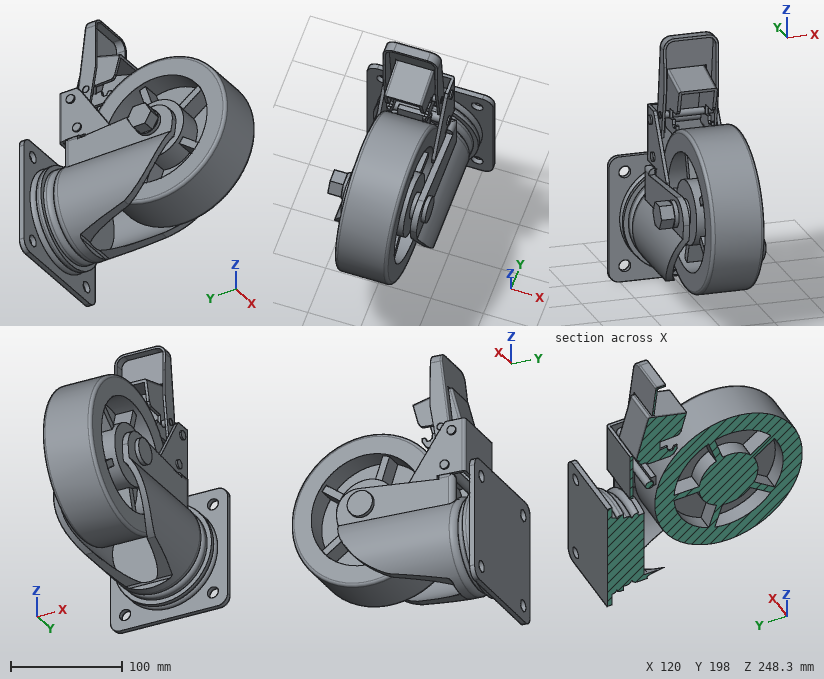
import cadquery as cq
import math


DIAGONAL = math.sqrt(0.5)

TOTAL_DEPTH = 198.0
TOTAL_HEIGHT = 248.33

PLATE_SIZE = 120.0
PLATE_THICKNESS = 5.0
PLATE_CORNER_RADIUS = 10.0
HOLE_SPACING = 90.0
HOLE_DIAMETER = 11.0

FLANGE_RADIUS = 50.0
FLANGE_GROOVE_RADIUS = 47.0
FLANGE_GROOVE_DEPTH = 10.0
FLANGE_ROUND_END = 13.5
FLANGE_END = 16.7
RACE_RADIUS = 45.5
RACE_ROUND_START = 19.6
NECK_GROOVE_RADIUS = 41.5
NECK_GROOVE_DEPTH = 25.0

FORK_RADIUS = 46.0
FORK_WALL = 6.0
FORK_BACK = 31.7
LUG_OUTER_X = 36.0
LUG_INNER_X = LUG_OUTER_X - FORK_WALL
LUG_TAB_END = 46.6
LUG_TAB_TOP = 61.2
LUG_TAB_CORNER_RADIUS = 6.5
LUG_TOP_SLOPE = 4.7
LUG_BEND_RADIUS = 5.0
LUG_NOSE_RADIUS = 20.0
LUG_NOSE_CENTER = (128.0, 42.0)
SKIRT_LIP_END = 40.7
SKIRT_LIP_TOP = -41.0
SKIRT_SLOPE_START = (42.5, -39.3)
SKIRT_SLOPE_END = (96.5, -28.9)
SKIRT_ARC_MIDDLE = (134.0, 0.0)

WHEEL_RADIUS = 75.0
WHEEL_WIDTH = 50.0
WHEEL_EDGE_RADIUS = 3.0
AXLE_DEPTH = TOTAL_DEPTH - WHEEL_RADIUS
AXLE_Z = 45.0
RIM_INNER_RADIUS = 55.0
HUB_RADIUS = 30.0
SPOKE_COUNT = 5
SPOKE_THICKNESS = 7.0
SPOKE_FIRST_ANGLE = 36.0
SPOKE_RECESS = 5.0
WEB_THICKNESS = 4.0
SPACER_RADIUS = 12.5
WASHER_OUTER_X = 40.0
BOLT_HEAD_END_X = 52.7
BOLT_ACROSS_FLATS = 22.0

BRACKET_HALF_WIDTH = 30.3
BRACKET_SHEET = 3.2
BRACKET_BACK = 23.1
BRACKET_BOTTOM = 62.2
BRACKET_TOP = 114.7
BRACKET_TOP_END = 42.5
BRACKET_SHOULDER = (45.5, 111.5)
BRACKET_STEP_DEPTH = 51.1
BRACKET_SLANT_END = (80.0, 58.7)
BRACKET_FOOT_Z = 54.0
BRACKET_BEND_RADIUS = 3.0
RIVET_RADIUS = 4.3
RIVET_HALF_LENGTH = 31.9
UPPER_RIVET = (36.2, 104.4)
LOWER_RIVET = (43.1, 71.4)

SHOE_HALF_WIDTH = 15.5
SHOE_START = 45.0
SHOE_END = 50.0
SHOE_BOTTOM = 68.0
SHOE_TOP = 78.4

PEDAL_HALF_WIDTH = 26.0
PEDAL_WALL = 2.4
PEDAL_TOP = TOTAL_HEIGHT - PLATE_SIZE / 2
PEDAL_BOTTOM = 92.0
PEDAL_BACK_TOP = 49.3
PEDAL_BACK_SLOPE = 0.12
PEDAL_CORNER_RADIUS = 10.0
PEDAL_BACK_FILLET = 1.5
PEDAL_FRONT = [(59.3, PEDAL_TOP), (59.9, 161.8), (59.9, 136.2), (53.8, 99.4)]
PEDAL_FRONT_BOTTOM = 52.5
WINDOW_HALF_WIDTH = 18.4
WINDOW_TOP = 155.4
PEDAL_PIN = (49.5, 112.9)
PEDAL_PIN_RADIUS = 3.3
PEDAL_PIN_HALF_LENGTH = 26.5

LEVER_HALF_WIDTH = 18.2
LEVER_SHEET = 2.8
LEVER_TILT = 15.0
LEVER_CORNER = (42.0, 155.0)
LEVER_LENGTH = 49.0
LEVER_TOP_LENGTH = 40.0
LEVER_BEND_RADIUS = 2.1
LEVER_FRONT_HEIGHT = 21.0
LEVER_TOE = [(73.3, 121.5), (71.5, 120.4), (54.0, 119.8)]
HOOK_THROAT = [(54.0, 110.5), (61.0, 111.5), (61.5, 107.0), (63.5, 105.0), (66.5, 105.0), (68.3, 108.6)]
HOOK_TIP = [(71.2, 108.6), (71.2, 105.0)]
HOOK_BOTTOM = 97.8
HOOK_BELLY = [(67.5, 99.5), (63.6, HOOK_BOTTOM), (42.0, HOOK_BOTTOM)]


def side_plate(points, half_width):
    """Plate with a (depth, z) outline, centred on X = 0."""
    outline = cq.Workplane("YZ").polyline([(-depth, z) for depth, z in points]).close()
    return outline.extrude(half_width, both=True)


def cross_cylinder(center, radius, start_x, end_x):
    """Cylinder along X about a (depth, z) centre."""
    depth, z = center
    plane = cq.Workplane("YZ", origin=(start_x, -depth, z))
    return plane.circle(radius).extrude(end_x - start_x)


def block(x_range, depth_range, z_range):
    """Box given by its (low, high) limits in X, depth and Z."""
    size = [high - low for low, high in (x_range, depth_range, z_range)]
    corner = (x_range[0], -depth_range[1], z_range[0])
    return cq.Workplane("XY").box(*size, centered=False).translate(corner)


def mounting_plate():
    """Square plate with rounded corners and four bolt holes."""
    plate = cq.Workplane("XZ").rect(PLATE_SIZE, PLATE_SIZE).extrude(PLATE_THICKNESS)
    plate = plate.edges("|Y").fillet(PLATE_CORNER_RADIUS)
    holes = cq.Workplane("XZ").rect(HOLE_SPACING, HOLE_SPACING, forConstruction=True).vertices()
    return plate.cut(holes.circle(HOLE_DIAMETER / 2).extrude(PLATE_THICKNESS))


def shoulder_middle(groove, crest):
    """Middle of a rounded shoulder that drops from a crest into a groove.

    Points are (radius, -depth); the arc through this point leaves the crest nearly level.
    """
    (groove_radius, groove_y), (crest_radius, crest_y) = groove, crest
    radius = groove_radius + (crest_radius - groove_radius) * DIAGONAL
    y = crest_y + (groove_y - crest_y) * DIAGONAL
    return (radius, y)


def swivel_neck():
    """Turned rings between the plate and the fork, with rounded shoulders, and the fork's floor."""
    plate_crest = (FLANGE_RADIUS, -PLATE_THICKNESS)
    flange_groove = (FLANGE_GROOVE_RADIUS, -FLANGE_GROOVE_DEPTH)
    flange_crest = (FLANGE_RADIUS, -FLANGE_ROUND_END)
    race_crest = (RACE_RADIUS, -RACE_ROUND_START)
    neck_groove = (NECK_GROOVE_RADIUS, -NECK_GROOVE_DEPTH)
    fork_crest = (FORK_RADIUS, -FORK_BACK)
    floor_radius = FORK_RADIUS - FORK_WALL / 2
    floor_front = -FORK_BACK - FORK_WALL
    profile = (
        cq.Workplane("XY")
        .moveTo(0, 0)
        .lineTo(FLANGE_RADIUS, 0)
        .lineTo(*plate_crest)
        .threePointArc(shoulder_middle(flange_groove, plate_crest), flange_groove)
        .threePointArc(shoulder_middle(flange_groove, flange_crest), flange_crest)
        .lineTo(FLANGE_RADIUS, -FLANGE_END)
        .lineTo(RACE_RADIUS, -FLANGE_END)
        .lineTo(*race_crest)
        .threePointArc(shoulder_middle(neck_groove, race_crest), neck_groove)
        .threePointArc(shoulder_middle(neck_groove, fork_crest), fork_crest)
        .lineTo(floor_radius, -FORK_BACK)
        .lineTo(floor_radius, floor_front)
        .lineTo(0, floor_front)
        .close()
    )
    return profile.revolve(360, (0, 0, 0), (0, 1, 0))


def fork_side_profile():
    """Side silhouette shared by the round skirt and the two lugs."""
    nose_depth, nose_z = LUG_NOSE_CENTER
    slope = math.radians(LUG_TOP_SLOPE)
    nose_start_depth = nose_depth - LUG_NOSE_RADIUS * math.sin(slope)
    nose_start_z = nose_z + LUG_NOSE_RADIUS * math.cos(slope)
    lug_top_back = nose_start_z - (nose_start_depth - LUG_TAB_END) * math.tan(slope)
    diagonal = LUG_NOSE_RADIUS * DIAGONAL
    corner_inset = LUG_TAB_CORNER_RADIUS * (1 - DIAGONAL)
    return (
        cq.Workplane("YZ")
        .moveTo(-FORK_BACK, -FORK_RADIUS)
        .lineTo(-SKIRT_LIP_END, -FORK_RADIUS)
        .lineTo(-SKIRT_LIP_END, SKIRT_LIP_TOP)
        .lineTo(-SKIRT_SLOPE_START[0], SKIRT_SLOPE_START[1])
        .lineTo(-SKIRT_SLOPE_END[0], SKIRT_SLOPE_END[1])
        .threePointArc((-SKIRT_ARC_MIDDLE[0], SKIRT_ARC_MIDDLE[1]), (-nose_depth - LUG_NOSE_RADIUS, nose_z))
        .threePointArc((-nose_depth - diagonal, nose_z + diagonal), (-nose_start_depth, nose_start_z))
        .lineTo(-LUG_TAB_END, lug_top_back)
        .lineTo(-LUG_TAB_END, LUG_TAB_TOP)
        .lineTo(-FORK_BACK - LUG_TAB_CORNER_RADIUS, LUG_TAB_TOP)
        .threePointArc(
            (-FORK_BACK - corner_inset, LUG_TAB_TOP - corner_inset),
            (-FORK_BACK, LUG_TAB_TOP - LUG_TAB_CORNER_RADIUS),
        )
        .close()
        .extrude(FORK_RADIUS, both=True)
    )


def fork_cross_section():
    """Open ring whose two ends carry on straight up as the lugs."""
    inner_radius = FORK_RADIUS - FORK_WALL
    outer_root_z = math.sqrt(FORK_RADIUS ** 2 - LUG_OUTER_X ** 2)
    inner_root_z = math.sqrt(inner_radius ** 2 - LUG_INNER_X ** 2)
    lug_height = LUG_NOSE_CENTER[1] + LUG_NOSE_RADIUS
    return (
        cq.Workplane("XZ", origin=(0, -FORK_BACK, 0))
        .moveTo(-LUG_OUTER_X, lug_height)
        .lineTo(-LUG_OUTER_X, outer_root_z)
        .threePointArc((0, -FORK_RADIUS), (LUG_OUTER_X, outer_root_z))
        .lineTo(LUG_OUTER_X, lug_height)
        .lineTo(LUG_INNER_X, lug_height)
        .lineTo(LUG_INNER_X, inner_root_z)
        .threePointArc((0, -inner_radius), (-LUG_INNER_X, inner_root_z))
        .lineTo(-LUG_INNER_X, lug_height)
        .close()
    )


def lug_bend_waste(side):
    """Material outside the bend round on a lug's back edge; side is -1 or +1.

    The round dies out where the lug meets the round skirt.
    """
    bend_center_x = side * (LUG_OUTER_X - LUG_BEND_RADIUS)
    bend_center_depth = FORK_BACK + LUG_BEND_RADIUS
    corner = block(
        sorted((bend_center_x, side * FORK_RADIUS)), (0, bend_center_depth), (0, FORK_RADIUS + LUG_TAB_TOP)
    )
    bend = cq.Workplane("XY").center(bend_center_x, -bend_center_depth)
    bend = bend.circle(LUG_BEND_RADIUS).extrude(FORK_RADIUS + LUG_TAB_TOP)
    skirt_core = cq.Workplane("XZ").circle(FORK_RADIUS).extrude(bend_center_depth)
    return corner.cut(bend).cut(skirt_core)


def lug_top_waste(side):
    """Material outside the bend round along the top of a lug's back tab."""
    bend_center_x = side * (LUG_OUTER_X - LUG_BEND_RADIUS)
    bend_center_z = LUG_TAB_TOP - LUG_BEND_RADIUS
    corner = block(
        sorted((bend_center_x, side * FORK_RADIUS)),
        (0, LUG_TAB_END),
        (bend_center_z, bend_center_z + FORK_RADIUS),
    )
    bend = cq.Workplane("XZ").center(bend_center_x, bend_center_z)
    return corner.cut(bend.circle(LUG_BEND_RADIUS).extrude(LUG_TAB_END))


def fork():
    """Round skirt and two lugs, with bend rounds on the outer edges of the lugs' back tabs."""
    nose_end = LUG_NOSE_CENTER[0] + LUG_NOSE_RADIUS
    shell = fork_cross_section().extrude(nose_end - FORK_BACK)
    shell = shell.intersect(fork_side_profile())
    for side in (-1, 1):
        shell = shell.cut(lug_bend_waste(side)).cut(lug_top_waste(side))
    return shell


def wheel():
    """Wheel with a rounded tread, a hub, a thin web and spokes recessed from both faces."""
    half_width = WHEEL_WIDTH / 2
    center = (AXLE_DEPTH, AXLE_Z)
    tyre = cross_cylinder(center, WHEEL_RADIUS, -half_width, half_width)
    tyre = tyre.edges("%CIRCLE").fillet(WHEEL_EDGE_RADIUS)
    body = tyre.cut(cross_cylinder(center, RIM_INNER_RADIUS, -half_width, half_width))
    body = body.union(cross_cylinder(center, HUB_RADIUS, -half_width, half_width))
    body = body.union(cross_cylinder(center, RIM_INNER_RADIUS, -WEB_THICKNESS / 2, WEB_THICKNESS / 2))

    spoke_start = HUB_RADIUS - SPOKE_RECESS
    spoke_length = RIM_INNER_RADIUS + SPOKE_RECESS - spoke_start
    spoke_width = WHEEL_WIDTH - 2 * SPOKE_RECESS
    for index in range(SPOKE_COUNT):
        angle = SPOKE_FIRST_ANGLE + index * 360.0 / SPOKE_COUNT
        spoke = cq.Workplane("XY").box(spoke_width, spoke_length, SPOKE_THICKNESS)
        spoke = spoke.translate((0, -spoke_start - spoke_length / 2, 0))
        spoke = spoke.rotate((0, 0, 0), (1, 0, 0), -angle)
        body = body.union(spoke.translate((0, -AXLE_DEPTH, AXLE_Z)))
    return body


def axle():
    """Axle with its washers and spacers, and a hex bolt head on the -X end."""
    center = (AXLE_DEPTH, AXLE_Z)
    shaft = cross_cylinder(center, SPACER_RADIUS, -WASHER_OUTER_X, WASHER_OUTER_X)
    across_corners = BOLT_ACROSS_FLATS / math.cos(math.radians(30))
    head = cq.Workplane("YZ", origin=(-BOLT_HEAD_END_X, -AXLE_DEPTH, AXLE_Z))
    head = head.polygon(6, across_corners).extrude(BOLT_HEAD_END_X - WASHER_OUTER_X)
    return shaft.union(head)


def brake_bracket():
    """U-shaped sheet bracket between the lugs, with two cross rivets and the brake shoe."""
    outline = [
        (BRACKET_BACK, BRACKET_BOTTOM),
        (BRACKET_BACK, BRACKET_TOP),
        (BRACKET_TOP_END, BRACKET_TOP),
        BRACKET_SHOULDER,
        BRACKET_SLANT_END,
        (BRACKET_SLANT_END[0], BRACKET_FOOT_Z),
        (BRACKET_STEP_DEPTH, BRACKET_FOOT_Z),
        (BRACKET_STEP_DEPTH, BRACKET_BOTTOM),
    ]
    bracket = side_plate(outline, BRACKET_HALF_WIDTH)
    bracket = bracket.faces(">Y").edges("|Z").fillet(BRACKET_BEND_RADIUS)
    inner_x = BRACKET_HALF_WIDTH - BRACKET_SHEET
    bracket = bracket.cut(block(
        (-inner_x, inner_x),
        (BRACKET_BACK + BRACKET_SHEET, BRACKET_SLANT_END[0]),
        (BRACKET_FOOT_Z, BRACKET_TOP),
    ))
    for center in (UPPER_RIVET, LOWER_RIVET):
        rivet = cross_cylinder(center, RIVET_RADIUS, -RIVET_HALF_LENGTH, RIVET_HALF_LENGTH)
        bracket = bracket.union(rivet)
    shoe = block((-SHOE_HALF_WIDTH, SHOE_HALF_WIDTH), (SHOE_START, SHOE_END), (SHOE_BOTTOM, SHOE_TOP))
    return bracket.union(shoe)


def pedal_back_depth(z):
    """Depth of the tilted back face of the pedal at height z."""
    return PEDAL_BACK_TOP - PEDAL_BACK_SLOPE * (PEDAL_TOP - z)


def rounded_top_slab(half_width, top, corner_radius):
    """Slab through the whole depth with its two top corners rounded."""
    slab = block((-half_width, half_width), (0, AXLE_DEPTH), (PEDAL_BOTTOM, top))
    return slab.faces(">Z").edges("|Y").fillet(corner_radius)


def pedal():
    """Tilted tray, open toward the wheel, with a window for the release lever."""
    outline = [
        (pedal_back_depth(PEDAL_BOTTOM), PEDAL_BOTTOM),
        (PEDAL_BACK_TOP, PEDAL_TOP),
        *PEDAL_FRONT,
        (PEDAL_FRONT_BOTTOM, PEDAL_BOTTOM),
    ]
    tray = side_plate(outline, PEDAL_HALF_WIDTH)
    tray = tray.intersect(rounded_top_slab(PEDAL_HALF_WIDTH, PEDAL_TOP, PEDAL_CORNER_RADIUS))
    back_center = (PEDAL_TOP + PEDAL_BOTTOM) / 2
    back_point = (0, -pedal_back_depth(back_center), back_center)
    back_face = tray.faces(cq.selectors.NearestToPointSelector(back_point))
    tray = back_face.edges("not <Z").fillet(PEDAL_BACK_FILLET)

    hollow = side_plate(
        [
            (pedal_back_depth(PEDAL_BOTTOM) + PEDAL_WALL, PEDAL_BOTTOM),
            (PEDAL_BACK_TOP + PEDAL_WALL, PEDAL_TOP),
            (AXLE_DEPTH, PEDAL_TOP),
            (AXLE_DEPTH, PEDAL_BOTTOM),
        ],
        PEDAL_HALF_WIDTH,
    )
    hollow = hollow.intersect(rounded_top_slab(
        PEDAL_HALF_WIDTH - PEDAL_WALL, PEDAL_TOP - PEDAL_WALL, PEDAL_CORNER_RADIUS - PEDAL_WALL
    ))
    tray = tray.cut(hollow)
    window = block((-WINDOW_HALF_WIDTH, WINDOW_HALF_WIDTH), (0, AXLE_DEPTH), (PEDAL_BOTTOM, WINDOW_TOP))
    tray = tray.cut(window)
    pin = cross_cylinder(PEDAL_PIN, PEDAL_PIN_RADIUS, -PEDAL_PIN_HALF_LENGTH, PEDAL_PIN_HALF_LENGTH)
    return tray.union(pin)


def along_lever(forward, down):
    """(depth, z) of a point measured from the lever's top back corner."""
    tilt = math.radians(LEVER_TILT)
    depth = LEVER_CORNER[0] + forward * math.cos(tilt) - down * math.sin(tilt)
    z = LEVER_CORNER[1] - forward * math.sin(tilt) - down * math.cos(tilt)
    return (depth, z)


def release_lever():
    """Bent channel: a back plate, a top plate and two hooked side walls."""
    outline = [
        along_lever(0, 0),
        along_lever(LEVER_TOP_LENGTH, 0),
        along_lever(LEVER_TOP_LENGTH, LEVER_FRONT_HEIGHT),
        *LEVER_TOE,
        *HOOK_THROAT,
        *HOOK_TIP,
        *HOOK_BELLY,
        along_lever(0, LEVER_LENGTH),
    ]
    lever = side_plate(outline, LEVER_HALF_WIDTH)
    top_middle = along_lever(LEVER_TOP_LENGTH / 2, 0)
    back_middle = along_lever(0, LEVER_LENGTH / 2)
    bends = [
        (0, along_lever(0, 0)),
        (-LEVER_HALF_WIDTH, top_middle),
        (LEVER_HALF_WIDTH, top_middle),
        (-LEVER_HALF_WIDTH, back_middle),
        (LEVER_HALF_WIDTH, back_middle),
    ]
    bend_edges = [
        lever.edges(cq.selectors.NearestToPointSelector((x, -depth, z))).val() for x, (depth, z) in bends
    ]
    lever = lever.newObject(bend_edges).fillet(LEVER_BEND_RADIUS)
    inner_x = LEVER_HALF_WIDTH - LEVER_SHEET
    hollow = side_plate(
        [
            along_lever(LEVER_SHEET, LEVER_SHEET),
            along_lever(2 * LEVER_TOP_LENGTH, LEVER_SHEET),
            along_lever(2 * LEVER_TOP_LENGTH, 2 * LEVER_LENGTH),
            along_lever(LEVER_SHEET, 2 * LEVER_LENGTH),
        ],
        inner_x,
    )
    return lever.cut(hollow)


result = mounting_plate()
for component in (swivel_neck(), fork(), axle(), wheel(), brake_bracket(), pedal(), release_lever()):
    result = result.union(component)